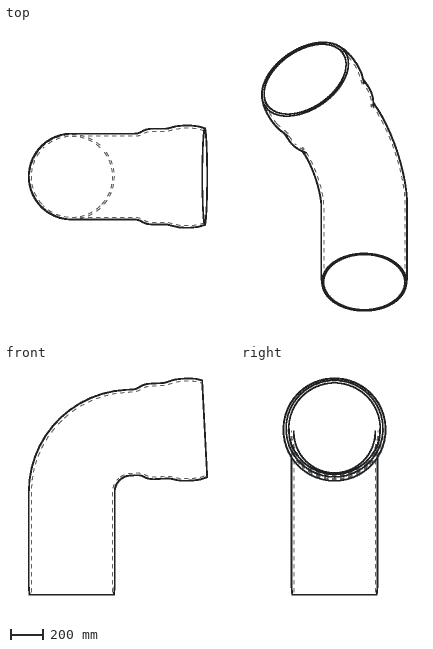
import cadquery as cq
import math

pipe_radius = 530 / 2
wall = 15
bore_radius = pipe_radius - wall
spigot_length = 633.3

taper_height = 49
tip_reduction = 4.5
tip_blend_length = 5

bend_angle = 87
bend_radius = 365

barrel_radius = 590 / 2
bulge_radius = 630 / 2
mouth_radius = 596 / 2

neck_end = 42
barrel_start = 147
barrel_end = 227
bulge_start = 345
bulge_end = 389
mouth_end = 473.5

neck_hollow_run = 43
bulge_hollow_run = 34


def arc_sweep(rise, run):
    """Sweep of an arc that starts parallel to the axis and covers this rise and run."""
    return 2 * math.atan2(rise, run)


neck_sweep = arc_sweep(barrel_radius - pipe_radius, barrel_start - neck_end)
neck_hollow = neck_hollow_run / math.sin(neck_sweep)
neck_crown = (barrel_start - neck_end - neck_hollow_run) / math.sin(neck_sweep)

bulge_sweep = arc_sweep(bulge_radius - barrel_radius, bulge_start - barrel_end)
bulge_hollow = bulge_hollow_run / math.sin(bulge_sweep)
bulge_crown = (bulge_start - barrel_end - bulge_hollow_run) / math.sin(bulge_sweep)

lip_run = mouth_end - bulge_end
lip_crown = lip_run / math.sin(arc_sweep(bulge_radius - mouth_radius, lip_run))


def draw_arc(sketch, center, radius, start, end):
    """Add an arc about center; start and end are angles from the radial direction."""

    def at(angle):
        return (center[0] + radius * math.cos(angle), center[1] + radius * math.sin(angle))

    return sketch.threePointArc(at((start + end) / 2), at(end))


def draw_step(sketch, start, end, low, high, hollow, crown, sweep):
    """Add a straight wall up to start, then a hollow and a crown arc from radius low to radius high."""
    sketch = sketch.lineTo(low, start)
    sketch = draw_arc(sketch, (low + hollow, start), hollow, math.pi, math.pi - sweep)
    return draw_arc(sketch, (high - crown, end), crown, -sweep, 0)


def make_socket_core(inset):
    """Solid of revolution inside the socket surface moved inward by inset, with its axis along Z."""
    neck = pipe_radius - inset
    barrel = barrel_radius - inset
    bulge = bulge_radius - inset
    lip = lip_crown - inset
    sketch = cq.Workplane("XZ").lineTo(neck, 0)
    sketch = draw_step(
        sketch, neck_end, barrel_start, neck, barrel,
        neck_hollow + inset, neck_crown - inset, neck_sweep,
    )
    sketch = draw_step(
        sketch, barrel_end, bulge_start, barrel, bulge,
        bulge_hollow + inset, bulge_crown - inset, bulge_sweep,
    )
    sketch = sketch.lineTo(bulge, bulge_end)
    sketch = draw_arc(sketch, (bulge - lip, bulge_end), lip, 0, math.asin(lip_run / lip))
    return sketch.lineTo(0, mouth_end).close().revolve(360, (0, 0), (0, 1))


def make_socket():
    """Socket with an even wall, placed on the end of the bend."""
    socket = make_socket_core(0).cut(make_socket_core(wall))
    socket = socket.translate((0, 0, spigot_length))
    return socket.rotate((bend_radius, 0, spigot_length), (bend_radius, 1, spigot_length), bend_angle)


def make_spigot():
    """Straight pipe standing on Z = 0 with a slightly tapered tip."""
    taper = math.atan2(tip_reduction, taper_height)
    blend_radius = tip_blend_length / math.sin(taper)
    blend_top = taper_height + tip_blend_length / 2
    sketch = cq.Workplane("XZ").moveTo(bore_radius, 0).lineTo(bore_radius, spigot_length)
    sketch = sketch.lineTo(pipe_radius, spigot_length).lineTo(pipe_radius, blend_top)
    sketch = draw_arc(sketch, (pipe_radius - blend_radius, blend_top), blend_radius, 0, -taper)
    return sketch.lineTo(pipe_radius - tip_reduction, 0).close().revolve(360, (0, 0), (0, 1))


def make_bend():
    """Elbow turning the pipe from +Z toward +X."""
    ring = cq.Workplane("XY").workplane(offset=spigot_length).circle(pipe_radius).circle(bore_radius)
    return ring.revolve(bend_angle, (bend_radius, 0), (bend_radius, 1))


pipe_bend = make_spigot().union(make_bend()).union(make_socket())

result = cq.Compound.makeCompound([pipe_bend.val()])